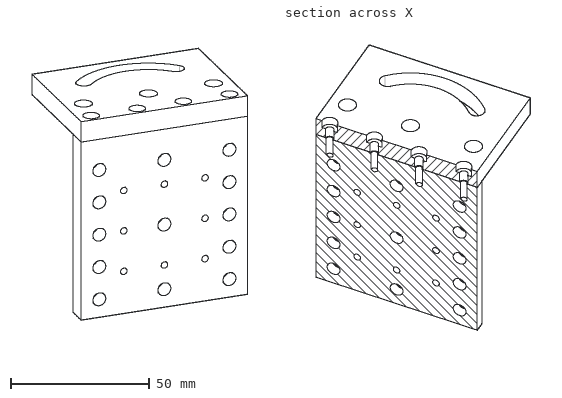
import cadquery as cq
import math

width = 65.0
plate_thickness = 8.0
top_length = 48.0
upright_height = 70.0
overall_height = upright_height + plate_thickness

grid_pitch = 25.4
half_pitch = grid_pitch / 2

pivot_x = 32.5
pivot_hole_diameter = 6.5
slot_radius = grid_pitch
slot_width = 6.0
slot_half_angle = 45.0

screw_x = top_length - plate_thickness / 2
screw_pitch = 18.0
screw_count = 4
screw_clearance_diameter = 3.2
counterbore_diameter = 6.0
counterbore_depth = 3.4
tapped_diameter = 2.5
tapped_depth = 8.0
drill_point_angle = 118.0

pattern_center_z = width / 2
mounting_hole_diameter = 5.0
small_hole_diameter = 2.5
small_hole_pitch = 15.875

screw_positions = [
    (screw_x, (i - (screw_count - 1) / 2) * screw_pitch) for i in range(screw_count)
]


def curved_slot():
    """Cutter for the arc slot centred on the middle pivot hole."""

    def slot_point(radius, angle):
        turn = math.radians(angle)
        return (pivot_x - radius * math.cos(turn), radius * math.sin(turn))

    inner = slot_radius - slot_width / 2
    outer = slot_radius + slot_width / 2
    cap_turn = math.radians(slot_half_angle)
    end_x, end_y = slot_point(slot_radius, slot_half_angle)
    cap_x = end_x + slot_width / 2 * math.sin(cap_turn)
    cap_y = end_y + slot_width / 2 * math.cos(cap_turn)
    return (
        cq.Workplane("XY", origin=(0, 0, upright_height))
        .moveTo(*slot_point(outer, -slot_half_angle))
        .threePointArc(slot_point(outer, 0), slot_point(outer, slot_half_angle))
        .threePointArc((cap_x, cap_y), slot_point(inner, slot_half_angle))
        .threePointArc(slot_point(inner, 0), slot_point(inner, -slot_half_angle))
        .threePointArc((cap_x, -cap_y), slot_point(outer, -slot_half_angle))
        .close()
        .extrude(plate_thickness)
    )


def make_top_plate():
    """Horizontal plate with pivot holes, curved slot and counterbored screw holes."""
    plate = cq.Workplane("XY", origin=(0, 0, upright_height)).box(
        top_length, width, plate_thickness, centered=(False, True, False)
    )
    top_face = cq.Workplane("XY", origin=(0, 0, overall_height))
    pivot_holes = (
        top_face.pushPoints([(pivot_x, row * grid_pitch) for row in (-1, 0, 1)])
        .circle(pivot_hole_diameter / 2)
        .extrude(-plate_thickness)
    )
    clearance_holes = (
        top_face.pushPoints(screw_positions)
        .circle(screw_clearance_diameter / 2)
        .extrude(-plate_thickness)
    )
    counterbores = (
        top_face.pushPoints(screw_positions)
        .circle(counterbore_diameter / 2)
        .extrude(-counterbore_depth)
    )
    return plate.cut(pivot_holes).cut(curved_slot()).cut(clearance_holes).cut(counterbores)


def tapped_hole(x, y):
    """Cutter for a blind drilled hole with a conical bottom, going down from the joint."""
    radius = tapped_diameter / 2
    point_depth = radius / math.tan(math.radians(drill_point_angle / 2))
    return (
        cq.Workplane("XZ", origin=(x, y, upright_height))
        .polyline([(0, 0), (radius, 0), (radius, -tapped_depth), (0, -tapped_depth - point_depth)])
        .close()
        .revolve(360, (0, 0, 0), (0, 1, 0))
    )


def upright_holes(positions, diameter):
    """Cutters for through holes along X at (y, offset from the pattern centre) positions."""
    return (
        cq.Workplane("YZ", origin=(top_length - plate_thickness, 0, pattern_center_z))
        .pushPoints(positions)
        .circle(diameter / 2)
        .extrude(plate_thickness)
    )


def make_upright_plate():
    """Vertical plate with the mounting hole pattern and tapped holes in its upper edge."""
    plate = cq.Workplane("XY", origin=(top_length - plate_thickness, 0, 0)).box(
        plate_thickness, width, upright_height, centered=(False, True, False)
    )
    side_holes = [(side * grid_pitch, row * half_pitch) for side in (-1, 1) for row in range(-2, 3)]
    middle_holes = [(0, row * grid_pitch) for row in (-1, 0, 1)]
    small_holes = [
        (column * small_hole_pitch, row * small_hole_pitch)
        for column in (-1, 0, 1)
        for row in (-1, 0, 1)
        if (column, row) != (0, 0)
    ]
    plate = plate.cut(upright_holes(side_holes + middle_holes, mounting_hole_diameter))
    plate = plate.cut(upright_holes(small_holes, small_hole_diameter))
    for x, y in screw_positions:
        plate = plate.cut(tapped_hole(x, y))
    return plate


top_plate = make_top_plate()
upright_plate = make_upright_plate()

result = cq.Compound.makeCompound([top_plate.val(), upright_plate.val()])